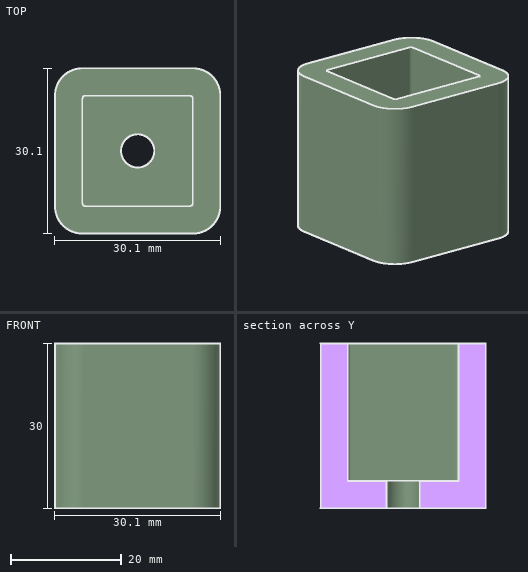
import cadquery as cq

width = 30.1
height = 30.0
outer_corner_radius = 5.03

cavity_width = 20.05
cavity_corner_radius = 0.5
wall = (width - cavity_width) / 2
floor_thickness = wall

hole_diameter = 6.0


def rounded_square_post(side, corner_radius, length):
    """Upright square post with rounded vertical edges, standing on Z = 0."""
    post = cq.Workplane("XY").rect(side, side).extrude(length)
    return post.edges("|Z").fillet(corner_radius)


block = rounded_square_post(width, outer_corner_radius, height)

cavity_depth = height - floor_thickness
cavity = rounded_square_post(cavity_width, cavity_corner_radius, cavity_depth)
cavity = cavity.translate((0, 0, floor_thickness))

floor_hole = cq.Workplane("XY").circle(hole_diameter / 2).extrude(height)

result = block.cut(cavity).cut(floor_hole)